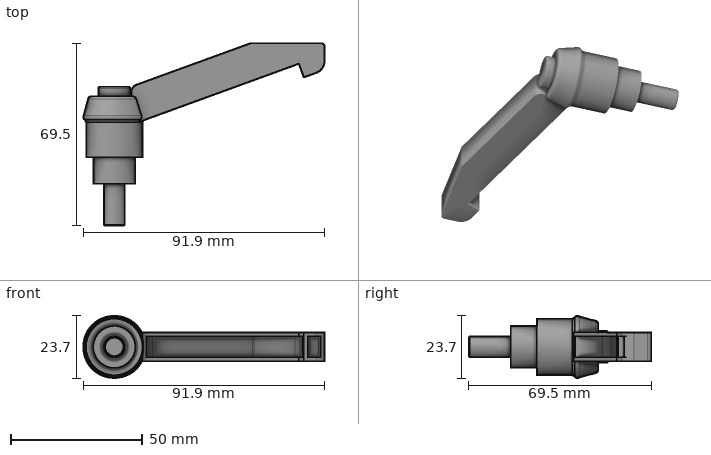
import cadquery as cq
import math


STUD_RADIUS = 4.0
STUD_LENGTH = 16.0
STUD_CHAMFER = 0.5
SHOULDER_RADIUS = 8.0
SHOULDER_HEIGHT = 10.0
BARREL_RADIUS = 10.75
BARREL_TOP = 23.4
RIM_UNDERSIDE = 24.3
RIM_UNDERSIDE_RADIUS = 11.2
RIM_RADIUS = 11.83
RIM_MIDDLE = 25.2
CONE_BASE = 26.1
CONE_BASE_RADIUS = 11.65
HUB_TOP = 33.35
HUB_EDGE_FILLET = 1.5
CONE_ANGLE = math.radians(15)
CAP_RADIUS = 6.08
CAP_TOP = 36.9
CAP_FILLET = 0.6

ARM_WIDTH = 11.0
ARM_ANGLE = 20.0
ARM_SLOPE = math.tan(math.radians(ARM_ANGLE))
ARM_TOP = 53.5
ARM_END = 80.03
ARM_BEND_X = 51.9
ARM_HEEL_X = 6.5
ARM_FOOT_X = 10.7
ARM_FOOT_Y = 23.95
HOOK_X = 70.17
HOOK_DROP = 5.5
HEEL_FILLET = 3.0
TIP_TOP_FILLET = 1.5
TIP_BOTTOM_FILLET = 5.0

WALL = 1.5
LEVEL_ROOF = 1.5
SLOPED_ROOF = 1.7
POCKET_END_FILLET = 3.0
POCKET_START_FILLET = 3.5
POCKET_BEND_FILLET = 1.2
DIVIDER_X = 71.7
DIVIDER_WALL = 1.8
HOOK_POCKET_FILLET = 0.9


def make_hub():
    """Stud, shoulder, barrel, conical head and cap, revolved about Y."""
    cone_top_radius = CONE_BASE_RADIUS - (HUB_TOP - CONE_BASE) * math.tan(CONE_ANGLE)
    setback = HUB_EDGE_FILLET * math.tan((math.pi / 2 - CONE_ANGLE) / 2)
    round_start = (
        cone_top_radius + setback * math.sin(CONE_ANGLE),
        HUB_TOP - setback * math.cos(CONE_ANGLE),
    )
    round_end = (cone_top_radius - setback, HUB_TOP)
    return (
        cq.Workplane("XY")
        .moveTo(0, -STUD_LENGTH)
        .lineTo(STUD_RADIUS - STUD_CHAMFER, -STUD_LENGTH)
        .lineTo(STUD_RADIUS, STUD_CHAMFER - STUD_LENGTH)
        .lineTo(STUD_RADIUS, 0)
        .lineTo(SHOULDER_RADIUS, 0)
        .lineTo(SHOULDER_RADIUS, SHOULDER_HEIGHT)
        .lineTo(BARREL_RADIUS, SHOULDER_HEIGHT)
        .lineTo(BARREL_RADIUS, BARREL_TOP)
        .lineTo(RIM_UNDERSIDE_RADIUS, RIM_UNDERSIDE)
        .threePointArc((RIM_RADIUS, RIM_MIDDLE), (CONE_BASE_RADIUS, CONE_BASE))
        .lineTo(*round_start)
        .tangentArcPoint(round_end, relative=False)
        .lineTo(CAP_RADIUS, HUB_TOP)
        .lineTo(CAP_RADIUS, CAP_TOP - CAP_FILLET)
        .tangentArcPoint((CAP_RADIUS - CAP_FILLET, CAP_TOP), relative=False)
        .lineTo(0, CAP_TOP)
        .close()
        .revolve(360, (0, 0, 0), (0, 1, 0))
    )


def underside_y(x):
    """Height of the arm's sloped underside at x."""
    return ARM_FOOT_Y + (x - ARM_FOOT_X) * ARM_SLOPE


def extrude_centred(outline, width):
    """Extrude a closed XY outline evenly to both sides of Z = 0."""
    return outline.close().extrude(width / 2, both=True)


def fillet_edge_at(body, x, y, radius):
    """Round the Z edge that passes nearest to (x, y)."""
    edge = cq.selectors.NearestToPointSelector((x, y, 0))
    return body.edges("|Z").edges(edge).fillet(radius)


def make_arm():
    """Solid arm with its finger hook."""
    angle = math.radians(ARM_ANGLE)
    heel_y = ARM_TOP - (ARM_BEND_X - ARM_HEEL_X) * ARM_SLOPE
    hook_y = underside_y(HOOK_X)
    hook_tip_x = HOOK_X + HOOK_DROP * math.sin(angle)
    hook_tip_y = hook_y - HOOK_DROP * math.cos(angle)
    end_y = hook_tip_y + (ARM_END - hook_tip_x) * ARM_SLOPE
    outline = cq.Workplane("XY").polyline([
        (ARM_HEEL_X, ARM_FOOT_Y),
        (ARM_FOOT_X, ARM_FOOT_Y),
        (HOOK_X, hook_y),
        (hook_tip_x, hook_tip_y),
        (ARM_END, end_y),
        (ARM_END, ARM_TOP),
        (ARM_BEND_X, ARM_TOP),
        (ARM_HEEL_X, heel_y),
    ])
    arm = extrude_centred(outline, ARM_WIDTH)
    arm = fillet_edge_at(arm, ARM_HEEL_X, heel_y, HEEL_FILLET)
    arm = fillet_edge_at(arm, ARM_END, ARM_TOP, TIP_TOP_FILLET)
    return fillet_edge_at(arm, ARM_END, end_y, TIP_BOTTOM_FILLET)


def make_arm_pocket():
    """Long pocket that hollows the arm up to the divider."""
    start_x = ARM_FOOT_X + WALL
    roof_y = ARM_TOP - LEVEL_ROOF
    angle = math.radians(ARM_ANGLE)
    bend_x = ARM_BEND_X + (SLOPED_ROOF / math.cos(angle) - LEVEL_ROOF) / ARM_SLOPE
    start_y = roof_y - (bend_x - start_x) * ARM_SLOPE
    outline = cq.Workplane("XY").polyline([
        (start_x, 0),
        (DIVIDER_X, 0),
        (DIVIDER_X, roof_y),
        (bend_x, roof_y),
        (start_x, start_y),
    ])
    pocket = extrude_centred(outline, ARM_WIDTH - 2 * WALL)
    pocket = fillet_edge_at(pocket, DIVIDER_X, roof_y, POCKET_END_FILLET)
    pocket = fillet_edge_at(pocket, start_x, start_y, POCKET_START_FILLET)
    return fillet_edge_at(pocket, bend_x, roof_y, POCKET_BEND_FILLET)


def make_hook_pocket():
    """Short pocket that hollows the hook between the divider and the tip wall."""
    start_x = DIVIDER_X + DIVIDER_WALL
    end_x = ARM_END - WALL
    roof_y = ARM_TOP - LEVEL_ROOF
    outline = cq.Workplane("XY").polyline([
        (start_x, 0),
        (end_x, 0),
        (end_x, roof_y),
        (start_x, roof_y),
    ])
    pocket = extrude_centred(outline, ARM_WIDTH - 2 * WALL)
    for x in (start_x, end_x):
        pocket = fillet_edge_at(pocket, x, roof_y, HOOK_POCKET_FILLET)
    return pocket


hollow_arm = make_arm().cut(make_arm_pocket()).cut(make_hook_pocket())
result = make_hub().union(hollow_arm)